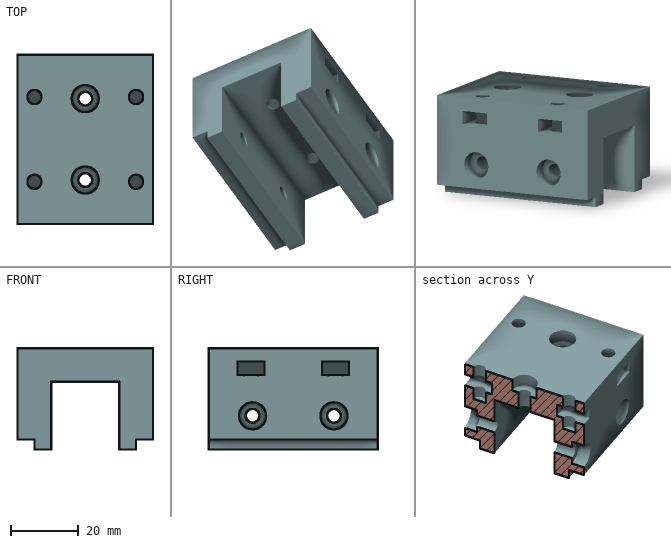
import cadquery as cq

width = 40.0
length = 50.0
height = 30.0

wall = 10.0
roof = 10.0
channel_width = width - 2 * wall
channel_height = height - roof
step_inset = wall / 2
step_height = 3.0

screw_diameter = 4.0
head_diameter = 8.0
head_depth = 4.0
screw_y = 12.0
wall_screw_z = channel_height / 2

bolt_diameter = 4.2
bolt_x = 15.0
bolt_y = 12.5
bolt_depth = 12.0
nut_width = 8.0
nut_height = 4.0
nut_floor_z = 22.0
nut_pocket_depth = width / 2 - bolt_x + nut_width / 2


def make_body():
    """Channel block with outward-facing steps along its lower edges."""
    half_width = width / 2
    half_foot = half_width - step_inset
    half_channel = channel_width / 2
    outline = [
        (-half_width, height),
        (half_width, height),
        (half_width, step_height),
        (half_foot, step_height),
        (half_foot, 0),
        (half_channel, 0),
        (half_channel, channel_height),
        (-half_channel, channel_height),
        (-half_channel, 0),
        (-half_foot, 0),
        (-half_foot, step_height),
        (-half_width, step_height),
    ]
    return cq.Workplane("XZ").polyline(outline).close().extrude(length / 2, both=True)


def counterbored_hole(entry, direction, depth):
    """Cutter with its wide end at the entry point, running along direction."""
    plane = cq.Plane(origin=entry, xDir=(0, 1, 0), normal=direction)
    screw = cq.Workplane(plane).circle(screw_diameter / 2).extrude(depth)
    head = cq.Workplane(plane).circle(head_diameter / 2).extrude(head_depth)
    return screw.union(head)


def nut_pocket(side, y):
    """Rectangular pocket open on one side face, crossed by a blind bolt hole from the top."""
    pocket = (
        cq.Workplane("XY")
        .box(nut_pocket_depth, nut_width, nut_height, centered=(True, True, False))
        .translate((side * (width - nut_pocket_depth) / 2, y, nut_floor_z))
    )
    bolt = (
        cq.Workplane("XY", origin=(side * bolt_x, y, height - bolt_depth))
        .circle(bolt_diameter / 2)
        .extrude(bolt_depth)
    )
    return pocket.union(bolt)


result = make_body()
for end in (-1, 1):
    roof_entry = (0, end * screw_y, height)
    result = result.cut(counterbored_hole(roof_entry, (0, 0, -1), roof))
    for side in (-1, 1):
        wall_entry = (side * width / 2, end * screw_y, wall_screw_z)
        result = result.cut(counterbored_hole(wall_entry, (-side, 0, 0), wall))
        result = result.cut(nut_pocket(side, end * bolt_y))